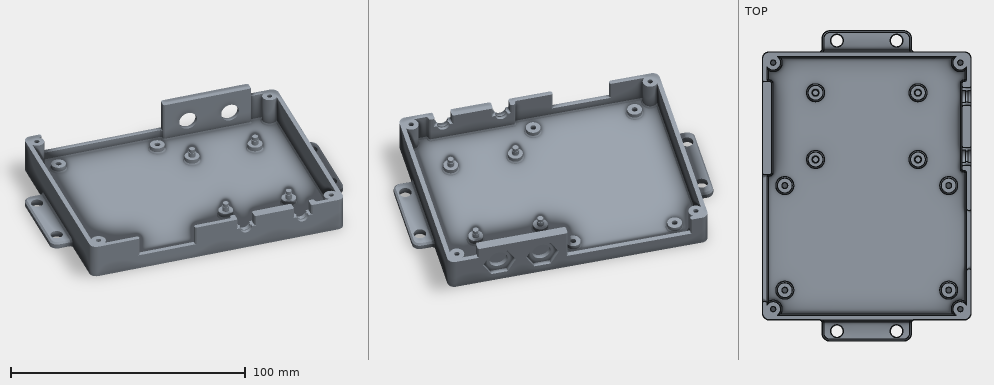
import cadquery as cq
import math

body_width = 88.9
body_length = 114.1
corner_radius = 3.0
wall_height = 15.0
wall = 2.0
floor = 2.5
inner_chamfer = 0.7
upright_chamfer = 0.5
overcut = 1.3
reach = 0.1

panel_thickness = 4.0
panel_top_y = 44.4
left_panel_length = 39.5
right_panel_length = 37.9
left_panel_height = 20.3

sill_height = 6.6
left_opening_start_y = -49.1
right_opening_y = (-35.4, -10.5)

post_diameter = 6.3
post_inset = 4.6
post_hole_diameter = 2.2
post_hole_depth = 10.0

boss_diameter = 6.3
boss_height = 2.5
pin_x = 21.8
pin_y = (11.2, 39.6)
pin_diameter = 2.9
pin_height = 2.1
pin_tip_diameter = 2.5
pin_tip_height = 1.6
socket_x = 34.9
socket_y = (-44.4, 0.1)
socket_diameter = 2.5

tab_width = 38.0
tab_length = 9.0
tab_thickness = 2.8
tab_corner_radius = 3.3
tab_chamfer = 0.8
tab_hole_diameter = 5.3
tab_hole_spacing = 25.4
tab_hole_offset = 4.8

connector_y = (16.0, 34.9)
connector_z = 10.0
connector_diameter = 7.9
hex_across_flats = 12.4
hex_depth = 2.0

notch_y = (12.5, 38.0)
notch_z = 10.3
notch_width = 7.7
cable_diameter = 5.3
ridge_diameter = 4.5
ridge_width = 1.0

outer_x = body_width / 2
outer_y = body_length / 2
inner_x = outer_x - wall
panel_x = outer_x - panel_thickness
left_panel_y = (panel_top_y - left_panel_length, panel_top_y)
right_panel_y = (panel_top_y - right_panel_length, panel_top_y)


def box(x_range, y_range, z_range):
    """Axis-aligned box between the given limits."""
    size = [high - low for low, high in (x_range, y_range, z_range)]
    corner = (x_range[0], y_range[0], z_range[0])
    return cq.Workplane("XY").box(*size, centered=False).translate(corner)


def upright_cylinders(points, diameter, bottom, height):
    """Equal cylinders standing along Z."""
    plane = cq.Workplane("XY").workplane(offset=bottom)
    return plane.pushPoints(points).circle(diameter / 2).extrude(height)


def x_cylinder(diameter, y, z, x_range):
    """Cylinder lying along X."""
    plane = cq.Workplane("YZ", origin=(x_range[0], y, z))
    return plane.circle(diameter / 2).extrude(x_range[1] - x_range[0])


def both_sides(x, y_values):
    """Points at plus and minus x for every y."""
    return [(side * x, y) for side in (-1, 1) for y in y_values]


post_points = both_sides(outer_x - post_inset, (post_inset - outer_y, outer_y - post_inset))
pin_points = both_sides(pin_x, pin_y)
socket_points = both_sides(socket_x, socket_y)


def cavity():
    """Inner space of the tray, shaped around the panels, posts and standoffs."""
    z_range = (floor, wall_height)
    depth = wall_height - floor
    space = box((-inner_x, inner_x), (wall - outer_y, outer_y - wall), z_range)
    space = space.cut(box((-outer_x, -panel_x), left_panel_y, z_range))
    space = space.cut(box((panel_x, outer_x), right_panel_y, z_range))

    for side, y_range in ((-1, left_panel_y), (1, right_panel_y)):
        for y in y_range:
            for x, size in ((inner_x, inner_chamfer), (panel_x, upright_chamfer)):
                corner = cq.selectors.NearestToPointSelector((side * x, y, floor + depth / 2))
                space = space.edges("|Z").edges(corner).chamfer(size)

    space = space.cut(upright_cylinders(post_points, post_diameter, floor, depth))
    fill_y = outer_y - post_inset / 2
    fill_points = both_sides(outer_x - post_inset / 2, (-fill_y, fill_y))
    fill_plane = cq.Workplane("XY").workplane(offset=floor)
    space = space.cut(fill_plane.pushPoints(fill_points).rect(post_inset, post_inset).extrude(depth))
    space = space.cut(upright_cylinders(pin_points + socket_points, boss_diameter, floor, boss_height))

    return space.faces("<Z").edges().chamfer(inner_chamfer)


def tab():
    """Mounting tab on the +Y wall, running into the wall at its root."""
    half_width = tab_width / 2
    plate = box((-half_width, half_width), (outer_y - wall, outer_y + tab_length), (0, tab_thickness))
    plate = plate.edges("|Z and >Y").fillet(tab_corner_radius)
    return plate.faces(">Z").edges("not <Y").chamfer(tab_chamfer)


def add_tabs(body):
    """Both tabs, flared where they meet the short walls, with their screw holes."""
    plate = tab()
    body = body.union(plate).union(plate.mirror("XZ"))
    for wall_y in (-outer_y, outer_y):
        root = cq.selectors.BoxSelector(
            (-tab_width, wall_y - reach, reach),
            (tab_width, wall_y + reach, tab_thickness + reach),
        )
        body = body.edges(root).chamfer(tab_chamfer)
    hole_y = outer_y + tab_hole_offset
    hole_points = both_sides(tab_hole_spacing / 2, (-hole_y, hole_y))
    return body.cut(upright_cylinders(hole_points, tab_hole_diameter, 0, tab_thickness))


def cut_openings(body):
    """Lower the long walls to the sill; the left opening runs up to the end of its panel."""
    z_range = (sill_height, wall_height + overcut)
    left_x = (-outer_x - overcut, -inner_x + inner_chamfer)
    body = body.cut(box(left_x, (left_opening_start_y, left_panel_y[0]), z_range))
    right_x = (inner_x - overcut, outer_x + overcut)
    return body.cut(box(right_x, right_opening_y, z_range))


def add_posts_and_standoffs(body):
    """Screw holes in the posts, stepped pins and blind holes on the standoffs."""
    boss_top = floor + boss_height
    post_hole_bottom = wall_height - post_hole_depth
    body = body.union(upright_cylinders(pin_points, pin_diameter, boss_top, pin_height))
    body = body.union(upright_cylinders(pin_points, pin_tip_diameter, boss_top, pin_height + pin_tip_height))
    body = body.cut(upright_cylinders(socket_points, socket_diameter, floor, boss_height))
    return body.cut(upright_cylinders(post_points, post_hole_diameter, post_hole_bottom, post_hole_depth))


def cut_connectors(body):
    """Through holes in the left panel, each with a hexagonal seat on the outside."""
    hex_across_corners = hex_across_flats / math.cos(math.pi / 6)
    for y in connector_y:
        body = body.cut(x_cylinder(connector_diameter, y, connector_z, (-outer_x, -panel_x)))
        seat = cq.Workplane("YZ", origin=(-outer_x, y, connector_z))
        body = body.cut(seat.polygon(6, hex_across_corners).extrude(hex_depth))
    return body


def cut_notches(body):
    """Open-topped cable notches with a gripping ridge across each round bottom."""
    margin = (panel_thickness - ridge_width) / 2
    for y in notch_y:
        sides = (y - notch_width / 2, y + notch_width / 2)
        body = body.cut(box((panel_x, outer_x), sides, (notch_z, wall_height)))
        body = body.cut(x_cylinder(ridge_diameter, y, notch_z, (panel_x, outer_x)))
        for x_range in ((panel_x, panel_x + margin), (outer_x - margin, outer_x)):
            body = body.cut(x_cylinder(cable_diameter, y, notch_z, x_range))
    return body


def bevel_upright_edges(body):
    """Bevel the standing edges of the openings, the notches and the outside of the left panel."""
    places = [(-outer_x, y) for y in (left_opening_start_y, *left_panel_y)]
    places.append((-inner_x, left_opening_start_y))
    places += [(x, y) for x in (inner_x, outer_x) for y in right_opening_y]
    for y in notch_y:
        places += [(x, y + side * notch_width / 2) for x in (panel_x, outer_x) for side in (-1, 1)]
    for x, y in places:
        column = cq.selectors.BoxSelector(
            (x - reach, y - reach, 0),
            (x + reach, y + reach, left_panel_height),
        )
        body = body.edges("|Z").edges(column).chamfer(upright_chamfer)
    return body


tray = cq.Workplane("XY").rect(body_width, body_length).extrude(wall_height)
tray = tray.edges("|Z").fillet(corner_radius)
left_panel = box((-outer_x, -panel_x), left_panel_y, (0, left_panel_height))
tray = tray.union(left_panel.edges("|Z and >X").chamfer(upright_chamfer))
tray = add_tabs(tray)
tray = tray.cut(cavity())
tray = cut_openings(tray)
tray = add_posts_and_standoffs(tray)
tray = cut_connectors(tray)
tray = cut_notches(tray)
result = bevel_upright_edges(tray)